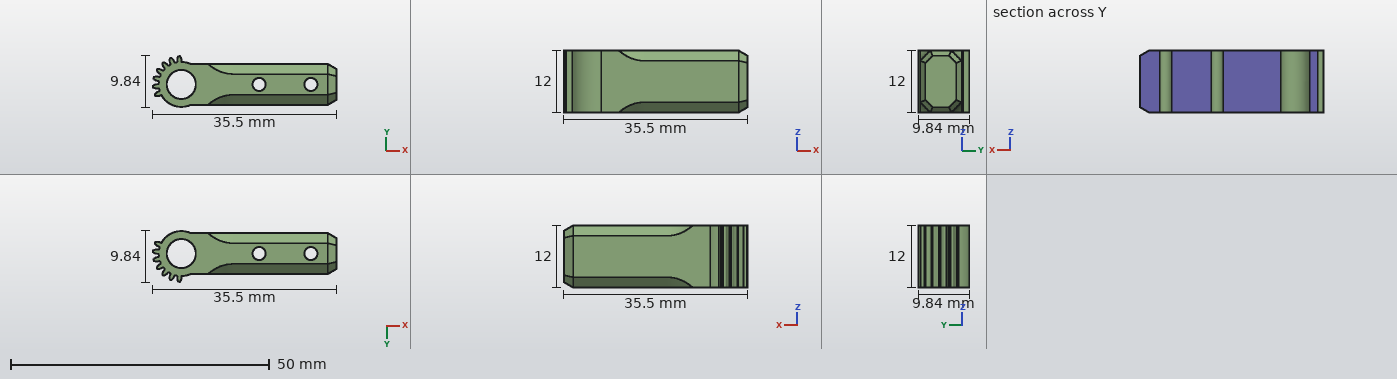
import cadquery as cq
import math

total_length = 35.5
height = 12.0
arm_width = 8.0
bore_diameter = 5.57

teeth_per_turn = 20
tooth_count = 7
first_tooth_angle = math.radians(94.5)
pressure_angle = math.radians(20)
pitch_radius = 5.0
tip_radius = 5.5
root_radius = 4.35
root_fillet = 0.2
flank_steps = 4

chamfer_leg = 2.0
runout_radius = 9.0
runout_end = 9.95
nose_length = 1.77
nose_taper = 30
pin_hole_diameter = 2.5
pin_hole_positions = (15.0, 25.02)

tooth_pitch = 2 * math.pi / teeth_per_turn
base_radius = pitch_radius * math.cos(pressure_angle)


def involute(angle):
    return math.tan(angle) - angle


def half_tooth_angle(radius):
    """Half the angle a tooth spans at a radius on its involute flank."""
    flank_angle = math.acos(base_radius / radius)
    return tooth_pitch / 4 + involute(pressure_angle) - involute(flank_angle)


def polar(radius, angle):
    return (radius * math.cos(angle), radius * math.sin(angle))


arm_end = total_length - tip_radius * math.cos(tooth_pitch / 4 - half_tooth_angle(tip_radius))
shank_end = arm_end - nose_length


def make_head():
    """Round pivot head with involute teeth and rounded tooth gaps."""
    radii = [
        base_radius + (tip_radius - base_radius) * step / flank_steps
        for step in range(flank_steps + 1)
    ]
    base_half = half_tooth_angle(base_radius)
    last_tooth_angle = first_tooth_angle + (tooth_count - 1) * tooth_pitch
    outline = cq.Workplane("XY", origin=(0, 0, -height / 2))
    outline = outline.moveTo(*polar(root_radius, first_tooth_angle - base_half))
    outline = outline.lineTo(*polar(base_radius, first_tooth_angle - base_half))
    for index in range(tooth_count):
        center = first_tooth_angle + index * tooth_pitch
        rising = [polar(r, center - half_tooth_angle(r)) for r in radii]
        falling = [polar(r, center + half_tooth_angle(r)) for r in reversed(radii)]
        outline = outline.spline(rising[1:], includeCurrent=True)
        outline = outline.threePointArc(polar(tip_radius, center), falling[0])
        outline = outline.spline(falling[1:], includeCurrent=True)
        if index < tooth_count - 1:
            gap_bottom = polar(root_radius, center + tooth_pitch / 2)
            next_tooth = center + tooth_pitch - base_half
            outline = outline.lineTo(*polar(root_radius, center + base_half))
            outline = outline.threePointArc(gap_bottom, polar(root_radius, next_tooth))
            outline = outline.lineTo(*polar(base_radius, next_tooth))
    outline = outline.lineTo(*polar(root_radius, last_tooth_angle + base_half))
    opposite = (first_tooth_angle + last_tooth_angle) / 2 + math.pi
    outline = outline.threePointArc(
        polar(root_radius, opposite), polar(root_radius, first_tooth_angle - base_half)
    )
    head = outline.close().extrude(height)

    def is_gap_corner(edge):
        """True for the vertical edges at the bottom of the gaps between two teeth."""
        spot = edge.Center()
        angle = math.atan2(spot.y, spot.x) % (2 * math.pi)
        at_root = math.hypot(spot.x, spot.y) < (root_radius + base_radius) / 2
        return at_root and first_tooth_angle < angle < last_tooth_angle

    return head.edges("|Z").filter(is_gap_corner).fillet(root_fillet)


def make_corner_cutter(side_y, side_z):
    """Cutter for one long 45 degree chamfer with a curved run-out toward the head."""
    plane = cq.Plane(
        origin=(0, side_y * arm_width / 2, side_z * height / 2),
        xDir=(1, 0, 0),
        normal=(0, side_z, -side_y),
    )
    depth = chamfer_leg / math.sqrt(2)
    sweep = math.acos(1 - depth / runout_radius)
    arc_center_depth = depth - runout_radius
    runout_start = (runout_end - runout_radius * math.sin(sweep), 0)
    arc_middle = (
        runout_end - runout_radius * math.sin(sweep / 2),
        arc_center_depth + runout_radius * math.cos(sweep / 2),
    )
    return (
        cq.Workplane(plane)
        .moveTo(*runout_start)
        .threePointArc(arc_middle, (runout_end, depth))
        .lineTo(shank_end, depth)
        .lineTo(shank_end, 0)
        .close()
        .extrude(chamfer_leg, both=True)
    )


def make_arm():
    """Straight arm with four chamfered corners and a tapered nose."""
    arm = cq.Workplane("XY").box(shank_end, arm_width, height, centered=(False, True, True))
    for side_y in (-1, 1):
        for side_z in (-1, 1):
            arm = arm.cut(make_corner_cutter(side_y, side_z))
    nose = (
        arm.faces(">X")
        .wires()
        .toPending()
        .workplane()
        .extrude(nose_length, taper=nose_taper, combine=False)
    )
    return arm.union(nose)


def make_holes():
    """Pivot bore and the two pin holes, all through the full height."""
    bore = cq.Workplane("XY").circle(bore_diameter / 2)
    pins = cq.Workplane("XY").pushPoints([(x, 0) for x in pin_hole_positions])
    pins = pins.circle(pin_hole_diameter / 2)
    return bore.extrude(height / 2, both=True).union(pins.extrude(height / 2, both=True))


result = make_head().union(make_arm()).cut(make_holes())